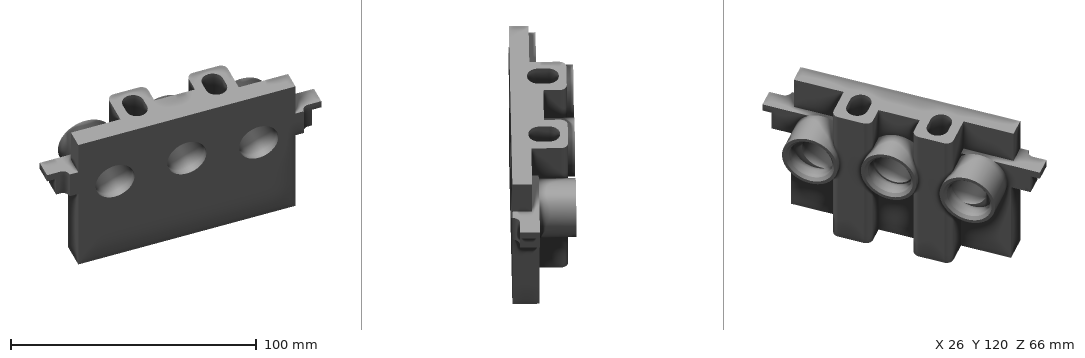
import cadquery as cq

height = 66.0
half_height = height / 2
body_width = 95.0
flange_depth = 11.0
recess_depth = 8.0
middle_depth = 13.5

half_span = 60.0
tab_top = 18.0
tab_step = 14.6
tab_bottom = 6.0
tab_step_y = 56.0
relief_depth = 3.0
relief_start = 51.2

rib_center = 17.4
rib_width = 17.0
rib_depth = 23.0
rib_fillet = 3.0
slot_length = 13.0
slot_width = 9.0
slot_center_depth = 13.5

boss_depth = 26.0
boss_radius = 12.0
mouth_radius = 10.5
bore_radius = 9.4
hole_radius = 8.5
bore_depth = 7.0
mouth_chamfer = mouth_radius - bore_radius
side_boss_y = 34.1
side_hole_y = 31.5
side_boss_z = 7.5
middle_boss_z = 9.6


def block(depth, y_center, width, z_low, z_high):
    """Block standing forward (toward -X) from the back plane."""
    block_height = z_high - z_low
    return cq.Workplane("XY").box(depth, width, block_height).translate(
        (-depth / 2, y_center, (z_low + z_high) / 2)
    )


def cylinder_x(radius, front_depth, back_depth, y, z):
    """Cylinder along X between two distances in front of the back plane."""
    return (
        cq.Workplane("YZ", origin=(-front_depth, y, z))
        .circle(radius)
        .extrude(front_depth - back_depth)
    )


def make_plate():
    plate = block(flange_depth, 0, body_width, -half_height, tab_top)
    plate = plate.union(block(recess_depth, 0, body_width, tab_top, half_height))
    return plate.union(block(middle_depth, 0, 2 * rib_center, -half_height, half_height))


def make_tabs():
    tabs = block(flange_depth, 0, 2 * half_span, tab_step, tab_top)
    tabs = tabs.union(block(flange_depth, 0, 2 * tab_step_y, tab_bottom, tab_step))
    relief_tangent = relief_start + relief_depth
    relief = (
        cq.Workplane("XY", origin=(0, 0, tab_bottom))
        .moveTo(0, relief_start)
        .radiusArc((-relief_depth, relief_tangent), relief_depth)
        .lineTo(-relief_depth, half_span)
        .lineTo(0, half_span)
        .close()
        .extrude(tab_top - tab_bottom)
    )
    return tabs.cut(relief).cut(relief.mirror("XZ"))


def make_rib(y):
    rib = block(rib_depth, y, rib_width, -half_height, half_height)
    return rib.edges("|Z and <X").fillet(rib_fillet)


def make_slot(y):
    return (
        cq.Workplane("XY", origin=(-slot_center_depth, y, -half_height))
        .slot2D(slot_length, slot_width)
        .extrude(height)
    )


def make_bore(boss_y, hole_y, z):
    """Chamfered blind bore with a smaller hole from its floor through the plate."""
    floor_depth = boss_depth - bore_depth
    bore = cylinder_x(bore_radius, boss_depth, floor_depth, boss_y, z)
    chamfer = (
        cq.Workplane("YZ", origin=(-boss_depth, boss_y, z))
        .circle(mouth_radius)
        .workplane(offset=mouth_chamfer)
        .circle(bore_radius)
        .loft()
    )
    hole = cylinder_x(hole_radius, floor_depth, 0, hole_y, z)
    return bore.union(chamfer).union(hole)


bosses = [
    (-side_boss_y, -side_hole_y, side_boss_z, flange_depth),
    (0, 0, middle_boss_z, middle_depth),
    (side_boss_y, side_hole_y, side_boss_z, flange_depth),
]

result = make_plate().union(make_tabs())
for side in (-1, 1):
    result = result.union(make_rib(side * rib_center))
for boss_y, hole_y, z, base_depth in bosses:
    result = result.union(cylinder_x(boss_radius, boss_depth, base_depth, boss_y, z))
for side in (-1, 1):
    result = result.cut(make_slot(side * rib_center))
for boss_y, hole_y, z, base_depth in bosses:
    result = result.cut(make_bore(boss_y, hole_y, z))